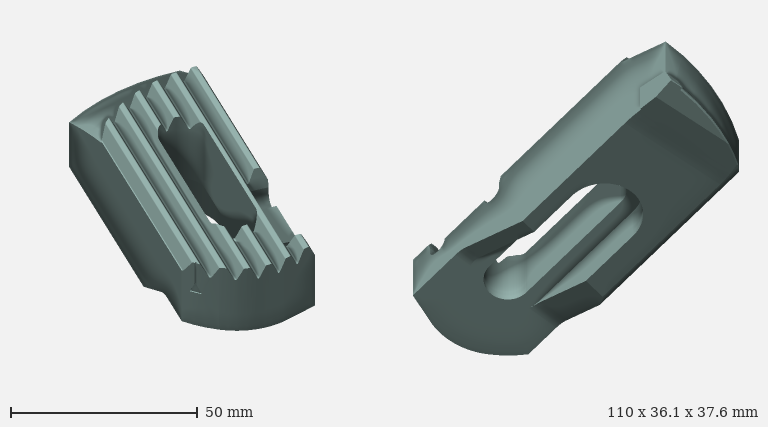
import cadquery as cq
import math


LENGTH = 110.0
HEIGHT = 37.6
TOTAL_WIDTH = 36.07
TIP_OVERHANG = 0.3
JAW_WIDTH = TOTAL_WIDTH - TIP_OVERHANG

NOSE_SETBACK = 2.45
NOSE_RADIUS = 63.0
NOSE_AXIS_X = NOSE_SETBACK + NOSE_RADIUS
NOSE_AXIS_Y = JAW_WIDTH
BEVEL_TOP_Z = -4.4
BEVEL_BOTTOM_Z = -14.8
BEVEL_ANGLE = 30.0
LIP_TOP_Z = -30.0
LIP_FLARE = 20.0
LIP_EDGE_CHAMFER = 0.5

TAIL_Z = -20.8
RAMP_END_X = 86.0
RAMP_ANGLE = 30.0
RAMP_BLEND = 8.0

TAIL_CORNER_X = 99.5
TAIL_BEND = (106.5, 8.0)
TAIL_BULGE_Y = 19.7
TAIL_SHOULDER = (109.2, 25.5)
TAIL_FAR_X = 105.5
TAIL_CORNER_SAGITTA = 0.4

UNDERSIDE_TILT = 6.0
UNDERSIDE_Z = -35.4
RIDGE_X = 6.1
RIDGE_FRONT_SLOPE = 10.0
RIDGE_BACK_SLOPE = 12.0
RIDGE_BLEND = 25.0
LOWER_CHAMFER_Z = -29.8
LOWER_CHAMFER = 4.0

TOOTH_PITCH = 6.0
TOOTH_DEPTH = 3.85
CREST_WIDTH = 1.65
VALLEY_WIDTH = 0.4
CREST_ROUND = 0.5
TOOTH_COUNT = 6

SLOT_Y = 20.0
SLOT_WIDTH = 13.0
SLOT_START_X = 39.8
SLOT_END_X = 91.4
HEAD_RECESS_WIDTH = 21.8

NOTCH_START_X = 68.7
NOTCH_END_X = 100.1
NOTCH_SIDE_Y = 27.8
NOTCH_DEPTH = 8.0
NOTCH_WALL_DEPTH = 6.0
NOTCH_WALL_RUN = 1.6
RELIEF_DIAMETER = 6.0

MARK_X = 102.4
MARK_LINE_WIDTH = 0.5
MARK_LINE_END_Z = -7.0
MARK_HEAD_WIDTH = 3.5
MARK_HEAD_END_Z = -9.9
MARK_DEPTH = 0.2

TIP_WIDTH = 4.1
TIP_REAR_X = 12.5
TIP_REAR_TOP_Z = -25.8
TIP_FRONT_TOP_Z = -29.4
TIP_SHOULDER_Z = -30.5
TIP_LAND_Z = -35.8
TIP_TOP_SETBACK = NOSE_SETBACK + 0.1

OVERSIZE = 10.0


def slope(angle):
    return math.tan(math.radians(angle))


def make_side_block():
    """Side outline in XZ, reaching below the inclined underside."""
    bottom_z = -HEIGHT - OVERSIZE
    ramp_start_x = RAMP_END_X - (TAIL_Z - bottom_z) / slope(RAMP_ANGLE)
    block = (
        cq.Workplane("XZ")
        .moveTo(-OVERSIZE, 0)
        .lineTo(LENGTH, 0)
        .lineTo(LENGTH, TAIL_Z)
        .lineTo(RAMP_END_X, TAIL_Z)
        .lineTo(ramp_start_x, bottom_z)
        .lineTo(-OVERSIZE, bottom_z)
        .close()
        .extrude(-JAW_WIDTH)
    )
    ramp_corner = cq.selectors.NearestToPointSelector((RAMP_END_X, JAW_WIDTH / 2, TAIL_Z))
    return block.edges("|Y").edges(ramp_corner).fillet(RAMP_BLEND)


def make_nose_envelope():
    """Body of revolution giving the bevel, the upright nose face and the flared lip."""
    bevel_radius = NOSE_RADIUS - (BEVEL_TOP_Z - BEVEL_BOTTOM_Z) / slope(BEVEL_ANGLE)
    bottom_z = -HEIGHT - OVERSIZE
    lip_radius = NOSE_RADIUS + (LIP_TOP_Z - bottom_z) * slope(LIP_FLARE)
    return (
        cq.Workplane("XZ")
        .moveTo(0, 0)
        .lineTo(bevel_radius, 0)
        .lineTo(bevel_radius, BEVEL_TOP_Z)
        .lineTo(NOSE_RADIUS, BEVEL_BOTTOM_Z)
        .lineTo(NOSE_RADIUS, LIP_TOP_Z)
        .lineTo(lip_radius, bottom_z)
        .lineTo(0, bottom_z)
        .close()
        .revolve(360, (0, 0), (0, 1))
        .translate((NOSE_AXIS_X, NOSE_AXIS_Y, 0))
    )


def make_plan_envelope():
    """Plan outline: straight sides and a rounded tail; the nose end is left to the revolve."""
    tail = (
        cq.Workplane("XY")
        .moveTo(NOSE_AXIS_X, 0)
        .lineTo(TAIL_CORNER_X, 0)
        .sagittaArc(TAIL_BEND, -TAIL_CORNER_SAGITTA)
        .threePointArc((LENGTH, TAIL_BULGE_Y), TAIL_SHOULDER)
        .lineTo(TAIL_FAR_X, JAW_WIDTH)
        .lineTo(NOSE_AXIS_X, JAW_WIDTH)
        .close()
        .extrude(-HEIGHT - OVERSIZE)
    )
    front_length = NOSE_AXIS_X + OVERSIZE
    front = (
        cq.Workplane("XY")
        .box(front_length, JAW_WIDTH, HEIGHT + OVERSIZE, centered=False)
        .translate((-OVERSIZE, 0, -HEIGHT - OVERSIZE))
        .intersect(make_nose_envelope())
    )
    return front.union(tail)


def make_underside_cutter():
    """Everything below the underside: a ridge profile swept along the inclined Y direction."""
    tilt = math.radians(UNDERSIDE_TILT)
    plane = cq.Plane(
        origin=(0, TOTAL_WIDTH, 0),
        xDir=(1, 0, 0),
        normal=(0, -math.cos(tilt), math.sin(tilt)),
    )
    squash = math.cos(tilt)
    ridge_z = -HEIGHT * squash
    flat_z = UNDERSIDE_Z * squash
    front_z = ridge_z + (RIDGE_X + OVERSIZE) * slope(RIDGE_FRONT_SLOPE)
    blend_x = RIDGE_X + (flat_z - ridge_z) / slope(RIDGE_BACK_SLOPE)
    blend_reach = RIDGE_BLEND * slope(RIDGE_BACK_SLOPE / 2)
    back_angle = math.radians(RIDGE_BACK_SLOPE)
    blend_start = (
        blend_x - blend_reach * math.cos(back_angle),
        flat_z - blend_reach * math.sin(back_angle),
    )
    bottom_z = ridge_z - 2 * OVERSIZE
    return (
        cq.Workplane(plane)
        .moveTo(-OVERSIZE, front_z)
        .lineTo(RIDGE_X, ridge_z)
        .lineTo(*blend_start)
        .tangentArcPoint((blend_x + blend_reach, flat_z), relative=False)
        .lineTo(LENGTH, flat_z)
        .lineTo(LENGTH, bottom_z)
        .lineTo(-OVERSIZE, bottom_z)
        .close()
        .extrude(TOTAL_WIDTH + OVERSIZE, both=True)
    )


def make_lower_chamfer_cutter():
    """45 degree chamfer along the lower edge of the -Y face."""
    bottom_z = LOWER_CHAMFER_Z - LOWER_CHAMFER
    return (
        cq.Workplane("YZ")
        .polyline([(0, LOWER_CHAMFER_Z), (LOWER_CHAMFER, bottom_z), (0, bottom_z)])
        .close()
        .extrude(LENGTH)
    )


def make_tooth_gap(center_y):
    """One V groove between teeth, with the crest edges rounded off and a round bottom."""
    crest_half = (TOOTH_PITCH - CREST_WIDTH) / 2
    valley_half = VALLEY_WIDTH / 2
    flank_angle = math.atan2(TOOTH_DEPTH, crest_half - valley_half)
    round_reach = CREST_ROUND * math.tan(flank_angle / 2)
    flank_run = round_reach * math.cos(flank_angle)
    flank_drop = round_reach * math.sin(flank_angle)
    round_half = crest_half - flank_run
    top_half = crest_half + round_reach
    bottom_half = valley_half * (1 + math.cos(flank_angle))
    bottom_z = valley_half * math.sin(flank_angle) - TOOTH_DEPTH
    return (
        cq.Workplane("YZ")
        .moveTo(-top_half, 0)
        .radiusArc((-round_half, -flank_drop), CREST_ROUND)
        .lineTo(-bottom_half, bottom_z)
        .threePointArc((0, -TOOTH_DEPTH), (bottom_half, bottom_z))
        .lineTo(round_half, -flank_drop)
        .radiusArc((top_half, 0), CREST_ROUND)
        .close()
        .extrude(LENGTH)
        .translate((0, center_y, 0))
    )


def make_slot(width, top_z, bottom_z):
    """Round-ended slot along X, all widths sharing the same end centres."""
    center_span = SLOT_END_X - SLOT_START_X - SLOT_WIDTH
    return (
        cq.Workplane("XY")
        .workplane(offset=top_z)
        .center((SLOT_START_X + SLOT_END_X) / 2, SLOT_Y)
        .slot2D(center_span + width, width)
        .extrude(bottom_z - top_z)
    )


def make_notch():
    """Key notch with leaning end walls and a round relief groove in each lower corner."""
    floor_start_x = NOTCH_START_X + NOTCH_WALL_RUN
    floor_end_x = NOTCH_END_X - NOTCH_WALL_RUN
    notch_width = JAW_WIDTH - NOTCH_SIDE_Y
    side = cq.Workplane("XZ", origin=(0, NOTCH_SIDE_Y, 0))
    notch = (
        side.moveTo(NOTCH_START_X, 0)
        .lineTo(NOTCH_END_X, 0)
        .lineTo(floor_end_x, -NOTCH_WALL_DEPTH)
        .lineTo(floor_end_x, -NOTCH_DEPTH)
        .lineTo(floor_start_x, -NOTCH_DEPTH)
        .lineTo(floor_start_x, -NOTCH_WALL_DEPTH)
        .close()
        .extrude(-notch_width)
    )
    relief_radius = RELIEF_DIAMETER / 2
    for relief_x in (floor_start_x + relief_radius, floor_end_x - relief_radius):
        relief = side.center(relief_x, -NOTCH_DEPTH).circle(relief_radius).extrude(-notch_width)
        notch = notch.union(relief)
    return notch


def make_index_mark():
    """Shallow arrow on the 45 degree tail corner, its stem reaching the crest level."""
    mark_y = MARK_X - TAIL_CORNER_X
    plane = cq.Plane(origin=(MARK_X, mark_y, 0), xDir=(1, 1, 0), normal=(1, -1, 0))
    stem_half = MARK_LINE_WIDTH / 2
    head_half = MARK_HEAD_WIDTH / 2
    return (
        cq.Workplane(plane)
        .polyline([
            (-stem_half, 0),
            (stem_half, 0),
            (stem_half, MARK_LINE_END_Z),
            (head_half, MARK_HEAD_END_Z),
            (-head_half, MARK_HEAD_END_Z),
            (-stem_half, MARK_LINE_END_Z),
        ])
        .close()
        .extrude(OVERSIZE)
        .translate((-MARK_DEPTH, MARK_DEPTH, 0))
    )


def chamfer_lip_edge(jaw):
    """Chamfer the curved edge where the flared lip meets the underside."""
    lip_zone = cq.selectors.BoxSelector(
        (-OVERSIZE, 0, -HEIGHT - OVERSIZE),
        (TIP_REAR_X, JAW_WIDTH, LOWER_CHAMFER_Z - LOWER_CHAMFER / 2),
    )
    return jaw.edges("not %LINE").edges(lip_zone).chamfer(LIP_EDGE_CHAMFER)


def make_tip():
    """Block at the +Y end of the lip, its lower face continuing the underside."""
    bottom_z = -HEIGHT - OVERSIZE
    shoulder_x = (TIP_SHOULDER_Z - TIP_LAND_Z) * slope(LIP_FLARE)
    block = (
        cq.Workplane("XZ", origin=(0, TOTAL_WIDTH - TIP_WIDTH, 0))
        .polyline([
            (0, bottom_z),
            (0, TIP_LAND_Z),
            (shoulder_x, TIP_SHOULDER_Z),
            (TIP_TOP_SETBACK, TIP_FRONT_TOP_Z),
            (TIP_REAR_X, TIP_REAR_TOP_Z),
            (TIP_REAR_X, bottom_z),
        ])
        .close()
        .extrude(-TIP_WIDTH)
    )
    return block.cut(make_underside_cutter())


def make_jaw(tip):
    """Toothed clamping jaw with the pocket that holds the tip."""
    jaw = make_side_block().intersect(make_plan_envelope())
    jaw = jaw.cut(make_underside_cutter())
    jaw = chamfer_lip_edge(jaw)
    jaw = jaw.cut(make_lower_chamfer_cutter())
    for gap in range(TOOTH_COUNT + 1):
        jaw = jaw.cut(make_tooth_gap(gap * TOOTH_PITCH))
    jaw = jaw.cut(make_slot(SLOT_WIDTH, 0, -HEIGHT))
    jaw = jaw.cut(make_slot(HEAD_RECESS_WIDTH, TAIL_Z, -HEIGHT))
    jaw = jaw.cut(make_notch())
    jaw = jaw.cut(make_index_mark())
    return jaw.cut(tip)


tip = make_tip()
jaw = make_jaw(tip)

result = cq.Compound.makeCompound([jaw.solids().val(), tip.solids().val()])